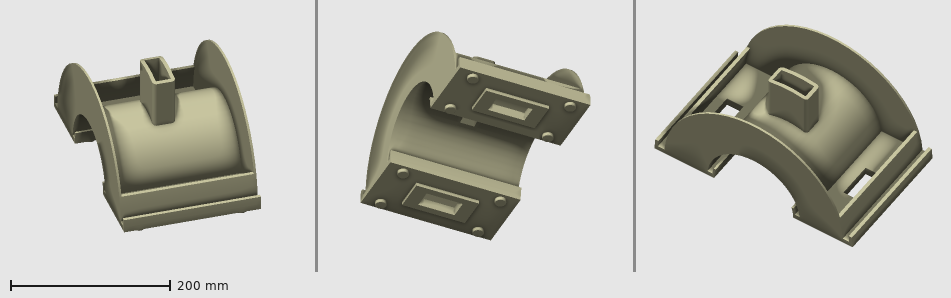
import cadquery as cq

length = 180.0
outer_radius = 135.0
bore_radius = 70.0
sleeve_thickness = 5.0
wall_thickness = 4.8
flange_thickness = 3.0
side_wall_height = 40.0
floor_height = 7.2

outer_lip_radius = 149.5
outer_lip_thickness = 4.8
inner_lip_radius = 59.8
inner_lip_thickness = 3.0
lip_height = 17.7

duct_length = 59.8
duct_width = 30.0
duct_wall = 5.0
duct_corner_radius = 5.0

foot_center = (outer_lip_radius + inner_lip_radius) / 2
pad_size = (43.0, 86.8)
window_size = (24.8, 50.0)
pad_height = 4.8
button_diameter = 14.7
button_chamfer = 0.5
button_offset_x = 33.5
button_offset_y = 67.3

sleeve_radius = bore_radius + sleeve_thickness
cavity_radius = outer_radius - wall_thickness
cavity_length = length - 2 * flange_thickness


def cylinder(radius, span):
    """Solid cylinder along Y, centred on the origin."""
    return cq.Workplane("XZ").circle(radius).extrude(span / 2, both=True)


def tube(outer, inner, span):
    return cylinder(outer, span).cut(cylinder(inner, span))


def layer(bottom, top):
    """Slab between two heights, wider and longer than the whole part."""
    size = 3 * outer_lip_radius
    return cq.Workplane("XY").workplane(offset=bottom).rect(size, size).extrude(top - bottom)


def make_shell():
    """Half ring with end flanges, open at the top between them."""
    above_base = layer(0, outer_lip_radius)
    shell = tube(outer_radius, bore_radius, length).intersect(above_base)
    side_walls = tube(outer_radius, cavity_radius, length).intersect(layer(0, side_wall_height))
    hollow = tube(outer_lip_radius, sleeve_radius, cavity_length)
    hollow = hollow.intersect(layer(floor_height, outer_lip_radius)).cut(side_walls)
    return shell.cut(hollow)


def make_feet():
    """Base strips on both sides with a lip along each edge."""
    base = tube(outer_lip_radius, inner_lip_radius, length).intersect(layer(0, floor_height))
    outer_lip = tube(outer_lip_radius, outer_lip_radius - outer_lip_thickness, length)
    inner_lip = tube(inner_lip_radius + inner_lip_thickness, inner_lip_radius, length)
    lips = outer_lip.union(inner_lip).intersect(layer(0, lip_height))
    return base.union(lips)


def make_duct():
    """Duct blank from the sleeve out to the flange radius."""
    duct = cq.Workplane("XY").rect(duct_length, duct_width).extrude(outer_lip_radius)
    duct = duct.edges("|Z").fillet(duct_corner_radius)
    return duct.intersect(tube(outer_radius, bore_radius, length))


def make_duct_bore():
    bore_size = (duct_length - 2 * duct_wall, duct_width - 2 * duct_wall)
    return cq.Workplane("XY").rect(*bore_size).extrude(outer_lip_radius)


def make_pad(side):
    return cq.Workplane("XY").center(side * foot_center, 0).rect(*pad_size).extrude(-pad_height)


def make_buttons(side):
    """Four round buttons around the pad of one foot."""
    buttons = (
        cq.Workplane("XY")
        .center(side * foot_center, 0)
        .rect(2 * button_offset_x, 2 * button_offset_y, forConstruction=True)
        .vertices()
        .circle(button_diameter / 2)
        .extrude(-pad_height)
    )
    return buttons.faces("<Z").edges().chamfer(button_chamfer)


def make_window(side):
    """Cutter through the foot and its pad."""
    cutter = cq.Workplane("XY").workplane(offset=-pad_height).center(side * foot_center, 0)
    return cutter.rect(*window_size).extrude(pad_height + floor_height)


result = make_shell().union(make_feet()).union(make_duct()).cut(make_duct_bore())
for side in (-1, 1):
    result = result.union(make_pad(side)).union(make_buttons(side)).cut(make_window(side))